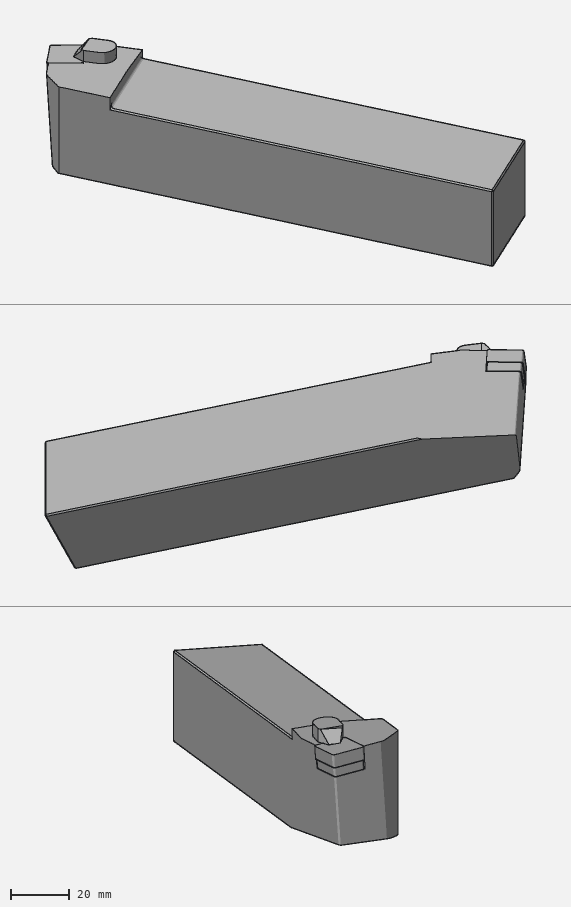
import cadquery as cq
import math

total_length = 170.0
shank_size = 32.0
half_width = shank_size / 2
shank_chamfer = 0.5
head_length = 31.5
head_height = 36.5
step_fillet = 1.2
front_corner_x = 13.0
front_blend_radius = 5.1

ridge_start_x = 14.3
seat_slope = 0.135
slope_per_axis = seat_slope / math.sqrt(2)

lead_angle = math.radians(15)
insert_corner_x = -0.2
insert_corner_y = 11.0
insert_side = 12.5
insert_thickness = 4.8
insert_radius = 0.8
shim_thickness = 3.4
shim_inset = 0.3
flank_inset = 0.7

clamp_height = 4.6
clamp_tip_x = 10.2
clamp_tip_half_width = 2.0
clamp_shoulder_x = 14.8
clamp_half_width = 4.5
clamp_round_x = 20.4
clamp_center_y = 7.5
clamp_nose_run = 3.5

cut_length = 238.0
cut_depth = 102.0


def seat_height(x, y):
    """Height of the seat plane above the bottom face."""
    return head_height - slope_per_axis * (ridge_start_x - x + y + half_width)


seat_normal = cq.Vector(-slope_per_axis, slope_per_axis, 1)
lead_x = math.cos(lead_angle)
lead_y = math.sin(lead_angle)

seat = cq.Plane(
    origin=(insert_corner_x, insert_corner_y, seat_height(insert_corner_x, insert_corner_y)),
    xDir=(lead_x, lead_y, slope_per_axis * (lead_x - lead_y)),
    normal=seat_normal,
)


def seat_block(inset, length, width, top, bottom):
    """Block square to the seat, set in from the two cutting edges."""
    return (
        cq.Workplane(seat)
        .workplane(offset=bottom)
        .moveTo(inset, -inset)
        .rect(length, -width, centered=False)
        .extrude(top - bottom)
    )


def round_corners(block):
    """Round the edges of a seat block that stand square to the seat."""
    return block.edges(cq.selectors.ParallelDirSelector(seat.zDir)).fillet(insert_radius)


def above_seat(offset):
    """Large block lying above a plane parallel to the seat."""
    return cq.Workplane(seat).workplane(offset=offset).rect(cut_length, cut_length).extrude(cut_depth)


def make_blank():
    """Chamfered square shank with the taller head block at its front."""
    shank = (
        cq.Workplane("XY")
        .box(total_length, shank_size, shank_size, centered=(False, True, False))
        .edges("|X or >X")
        .chamfer(shank_chamfer)
    )
    head = (
        cq.Workplane("XY", origin=(0, 0, shank_chamfer))
        .box(head_length, shank_size, head_height - shank_chamfer, centered=(False, True, False))
    )
    step_root = cq.selectors.NearestToPointSelector((head_length, 0, shank_size))
    return shank.union(head).edges(step_root).fillet(step_fillet)


def cut_front(blank):
    """Cut the tilted flanks and the vertical 45 degree face, and blend the front edge."""
    flanks = round_corners(seat_block(flank_inset, cut_length, cut_length, cut_depth, -cut_depth))
    front_reach = shank_size + front_corner_x
    front_face = (
        cq.Workplane("XY")
        .moveTo(front_corner_x, -half_width)
        .lineTo(front_corner_x - front_reach, front_reach - half_width)
        .lineTo(cut_length, front_reach - half_width)
        .lineTo(cut_length, -half_width)
        .close()
        .extrude(cut_depth)
    )
    limits = flanks.intersect(front_face)
    blend_edge = cq.selectors.NearestToPointSelector((insert_corner_x, -half_width / 2, cut_depth / 2))
    limits = limits.edges(blend_edge).fillet(front_blend_radius)
    return blank.intersect(limits)


def cut_head_top(body):
    """Slope the head top from the ridge line down to the cutting corner."""
    head_zone = cq.Workplane("XY").box(2 * head_length, shank_size * 2, cut_depth)
    return body.cut(above_seat(0).intersect(head_zone))


def make_clamp():
    """Round-backed clamp with a wedge nose, its top parallel to the seat."""
    outline = (
        cq.Workplane("XY", origin=(0, clamp_center_y, 0))
        .moveTo(clamp_tip_x, clamp_tip_half_width)
        .lineTo(clamp_shoulder_x, clamp_half_width)
        .lineTo(clamp_round_x, clamp_half_width)
        .threePointArc((clamp_round_x + clamp_half_width, 0), (clamp_round_x, -clamp_half_width))
        .lineTo(clamp_shoulder_x, -clamp_half_width)
        .lineTo(clamp_tip_x, -clamp_tip_half_width)
        .close()
        .extrude(cut_depth)
    )
    tip_z = seat_height(clamp_tip_x, clamp_center_y)
    nose = (
        cq.Workplane("XZ", origin=(0, half_width, 0))
        .moveTo(clamp_tip_x, tip_z)
        .lineTo(clamp_tip_x + clamp_nose_run, tip_z + clamp_height)
        .lineTo(clamp_tip_x + clamp_nose_run, cut_depth)
        .lineTo(0, cut_depth)
        .lineTo(0, tip_z)
        .close()
        .extrude(shank_size)
    )
    return outline.intersect(above_seat(0)).cut(above_seat(clamp_height)).cut(nose)


def make_holder():
    """Toolholder with its shim and clamp, and the open corner pocket for the insert."""
    shim_bottom = -insert_thickness - shim_thickness
    shim_side = insert_side - 2 * shim_inset
    shim = round_corners(seat_block(shim_inset, shim_side, shim_side, -insert_thickness, shim_bottom))
    pocket = seat_block(0, insert_side, insert_side, 0, -insert_thickness)
    shim_recess = seat_block(0, insert_side, insert_side, -insert_thickness, shim_bottom)
    body = cut_head_top(cut_front(make_blank()))
    return body.cut(pocket).cut(shim_recess).union(shim).union(make_clamp())


def make_insert():
    """Square insert with rounded corners, flush with the head top."""
    return round_corners(seat_block(0, insert_side, insert_side, 0, -insert_thickness))


holder = make_holder()
insert = make_insert()

result = cq.Compound.makeCompound([*holder.solids().vals(), insert.val()])